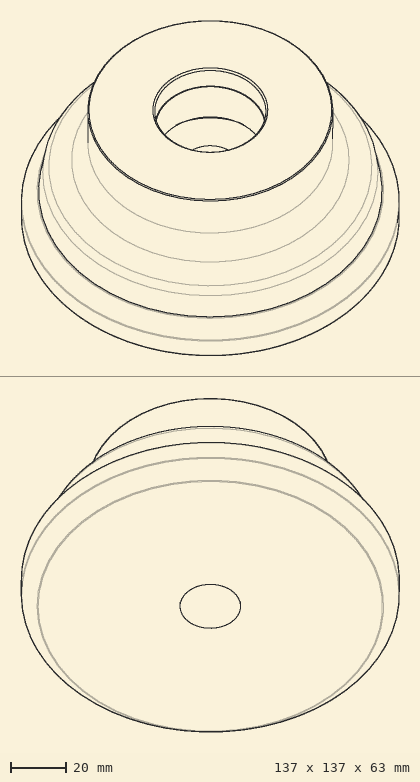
import cadquery as cq

height = 63.0
rim_radius = 68.5
hole_radius = 11.0

bevel = 5.9
base_height = 20.0
lower_bevel_height = 6.0
spigot_radius = 24.7
spigot_top = 32.0
rim_edge_round = 0.5

skirt_bottom_radius = 62.2
skirt_top_radius = 60.4
skirt_top = 31.8
shoulder_top = 39.0
neck_radius = 44.4
skirt_round = 3.8
neck_round = 10.0
neck_chamfer = 0.4

mouth_radius = 20.1
bore_radius = 19.9
mouth_depth = 9.0
recess_top = 37.8
mouth_chamfer = 0.7


def revolve_outline(points):
    """Turn an outline of (radius, height) points around the Z axis."""
    outline = cq.Workplane("XZ").polyline(points).close()
    return outline.revolve(360, (0, 0, 0), (0, 1, 0))


def circle_at(body, radius, level):
    """Select the circular edge of a given radius at a given height."""
    tolerance = 0.01
    edges = [
        edge
        for edge in body.edges("%CIRCLE").vals()
        if abs(edge.radius() - radius) < tolerance and abs(edge.Center().z - level) < tolerance
    ]
    return body.newObject(edges)


def make_base():
    upper_bevel_bottom = base_height - bevel
    body = revolve_outline([
        (hole_radius, 0),
        (rim_radius - bevel, 0),
        (rim_radius, lower_bevel_height),
        (rim_radius, upper_bevel_bottom),
        (rim_radius - bevel, base_height),
        (spigot_radius, base_height),
        (spigot_radius, spigot_top),
        (hole_radius, spigot_top),
    ])
    rim_edges = [
        (rim_radius - bevel, 0),
        (rim_radius, lower_bevel_height),
        (rim_radius, upper_bevel_bottom),
        (rim_radius - bevel, base_height),
    ]
    for radius, level in rim_edges:
        body = circle_at(body, radius, level).fillet(rim_edge_round)
    return body


def make_cap():
    ledge_level = height - mouth_depth
    body = revolve_outline([
        (spigot_radius, base_height),
        (skirt_bottom_radius, base_height),
        (skirt_top_radius, skirt_top),
        (neck_radius, shoulder_top),
        (neck_radius, height),
        (mouth_radius, height),
        (mouth_radius, ledge_level),
        (bore_radius, ledge_level),
        (bore_radius, recess_top),
        (spigot_radius, recess_top),
    ])
    body = circle_at(body, neck_radius, shoulder_top).fillet(neck_round)
    body = circle_at(body, skirt_top_radius, skirt_top).fillet(skirt_round)
    body = circle_at(body, neck_radius, height).chamfer(neck_chamfer)
    return circle_at(body, mouth_radius, height).chamfer(mouth_chamfer)


base = make_base()
cap = make_cap()

result = cq.Compound.makeCompound([base.val(), cap.val()])